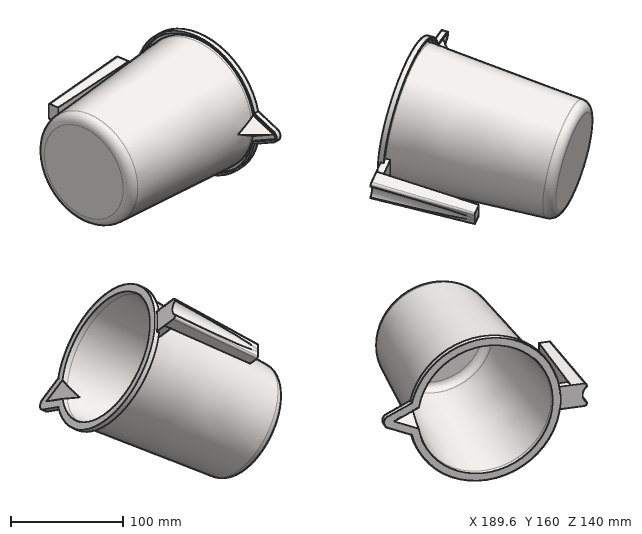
import cadquery as cq
import math

WALL = 2.0
HEIGHT = 160.0

COLLAR_RADIUS = 64.8
BASE_RADIUS = 54.8
BASE_ROUNDING = 9.5

RIM_DIAMETER = 140.0
RIM_RADIUS = RIM_DIAMETER / 2
RIM_DEPTH = 5.3

SPOUT_TIP_X = 88.0
SPOUT_ROOT_X = 63.3
SPOUT_ROOT_HALF_WIDTH = 11.2
SPOUT_ROOT_DEPTH = 22.7
SPOUT_RIM_MARGIN = 6.3
SPOUT_START_X = 56.9
SPOUT_CAVITY_START_X = 47.4
SPOUT_LENGTH = SPOUT_TIP_X - SPOUT_ROOT_X
SIDE_SLOPE = SPOUT_ROOT_HALF_WIDTH / SPOUT_LENGTH
KEEL_SLOPE = (SPOUT_ROOT_DEPTH - WALL) / SPOUT_LENGTH

HANDLE_TOP = 2.7
HANDLE_BOTTOM = 100.0
HANDLE_BACK_X = -80.2
HANDLE_TOP_X = -95.3
HANDLE_BOTTOM_X = -91.4
HANDLE_TOP_WIDTH = 22.4
HANDLE_BOTTOM_WIDTH = 16.0
HANDLE_TOP_ROUNDING = 2.8
HANDLE_BOTTOM_ROUNDING = 1.7
ARM_BOTTOM = 9.7
GROOVE_RADIUS = 9.9


def plane_at(depth):
    """Sketch plane across the jug axis; extruding from it goes towards the base."""
    return cq.Workplane("XZ", origin=(0, -depth, 0))


def tapered_cup(inset):
    """Solid of revolution lying the given distance inside the outer body surface."""
    taper = math.atan2(COLLAR_RADIUS - BASE_RADIUS, HEIGHT - RIM_DEPTH)
    side_inset = inset / math.cos(taper)
    floor = HEIGHT - inset
    floor_radius = BASE_RADIUS + inset * math.tan(taper) - side_inset
    return (
        cq.Workplane("XY")
        .moveTo(0, 0)
        .lineTo(COLLAR_RADIUS - side_inset, 0)
        .lineTo(COLLAR_RADIUS - side_inset, -RIM_DEPTH)
        .lineTo(floor_radius, -floor)
        .lineTo(0, -floor)
        .close()
        .revolve(360, (0, 0, 0), (0, 1, 0))
        .faces("<Y")
        .edges()
        .fillet(BASE_ROUNDING - inset)
    )


def rim_plate(inset, depth, thickness):
    """Round plate with a round-nosed point that surrounds the spout."""
    margin = SPOUT_RIM_MARGIN - inset
    side_angle = math.atan(SIDE_SLOPE)
    nose_x = SPOUT_TIP_X + margin * math.sin(side_angle)
    nose_z = margin * math.cos(side_angle)
    start_z = nose_z + SIDE_SLOPE * (nose_x - SPOUT_START_X)
    point = (
        plane_at(depth)
        .moveTo(SPOUT_START_X, -start_z)
        .lineTo(nose_x, -nose_z)
        .threePointArc((SPOUT_TIP_X + margin, 0), (nose_x, nose_z))
        .lineTo(SPOUT_START_X, start_z)
        .close()
        .extrude(thickness)
    )
    return plane_at(depth).circle(RIM_RADIUS - inset).extrude(thickness).union(point)


def spout_pyramid(tip_x, start_x, depth):
    """Pyramid with a level top face, sloping sides and a keel underneath."""
    length = tip_x - start_x
    half_width = SIDE_SLOPE * length
    tip = cq.Vector(tip_x, -depth, 0)
    left = cq.Vector(start_x, -depth, half_width)
    right = cq.Vector(start_x, -depth, -half_width)
    keel = cq.Vector(start_x, -depth - KEEL_SLOPE * length, 0)
    triangles = [(tip, left, right), (tip, keel, left), (tip, right, keel), (left, keel, right)]
    faces = [cq.Face.makeFromWires(cq.Wire.makePolygon(corners, close=True)) for corners in triangles]
    return cq.Workplane(cq.Solid.makeSolid(cq.Shell.makeShell(faces)))


def spout_cavity():
    """Inner pyramid, one wall thickness inside the spout and open at the mouth."""
    setback = WALL * math.sqrt(1 + SIDE_SLOPE**-2 + KEEL_SLOPE**-2)
    tip_x = SPOUT_TIP_X + WALL / KEEL_SLOPE - setback
    return spout_pyramid(tip_x, SPOUT_CAVITY_START_X, 0)


def grip_section(depth, front_x, width, rounding):
    """Wire of one handle cross-section, with its two front corners rounded."""
    half = width / 2
    diagonal = rounding * (1 - math.sqrt(0.5))
    return (
        plane_at(depth)
        .moveTo(HANDLE_BACK_X, -half)
        .lineTo(front_x + rounding, -half)
        .threePointArc((front_x + diagonal, -half + diagonal), (front_x, -half + rounding))
        .lineTo(front_x, half - rounding)
        .threePointArc((front_x + diagonal, half - diagonal), (front_x + rounding, half))
        .lineTo(HANDLE_BACK_X, half)
        .close()
        .wires()
        .val()
    )


def handle():
    """Tapered grip with a straight thumb groove that runs out at its lower end."""
    top = grip_section(HANDLE_TOP, HANDLE_TOP_X, HANDLE_TOP_WIDTH, HANDLE_TOP_ROUNDING)
    bottom = grip_section(HANDLE_BOTTOM, HANDLE_BOTTOM_X, HANDLE_BOTTOM_WIDTH, HANDLE_BOTTOM_ROUNDING)
    grip = cq.Workplane(cq.Solid.makeLoft([top, bottom], True))
    groove = (
        plane_at(0)
        .center(HANDLE_BOTTOM_X - GROOVE_RADIUS, 0)
        .circle(GROOVE_RADIUS)
        .extrude(HEIGHT)
    )
    return grip.cut(groove)


def handle_arm():
    """Bar from the back of the grip, through the rim skirt, into the body."""
    return (
        plane_at(HANDLE_TOP)
        .moveTo(HANDLE_BACK_X, -HANDLE_TOP_WIDTH / 2)
        .lineTo(0, -HANDLE_TOP_WIDTH / 2)
        .lineTo(0, HANDLE_TOP_WIDTH / 2)
        .lineTo(HANDLE_BACK_X, HANDLE_TOP_WIDTH / 2)
        .close()
        .extrude(ARM_BOTTOM - HANDLE_TOP)
    )


rim = rim_plate(0, 0, RIM_DEPTH).cut(rim_plate(WALL, WALL, RIM_DEPTH - WALL))

result = (
    tapered_cup(0)
    .union(rim)
    .union(spout_pyramid(SPOUT_TIP_X, SPOUT_START_X, WALL))
    .union(handle_arm())
    .union(handle())
    .cut(tapered_cup(WALL))
    .cut(spout_cavity())
)